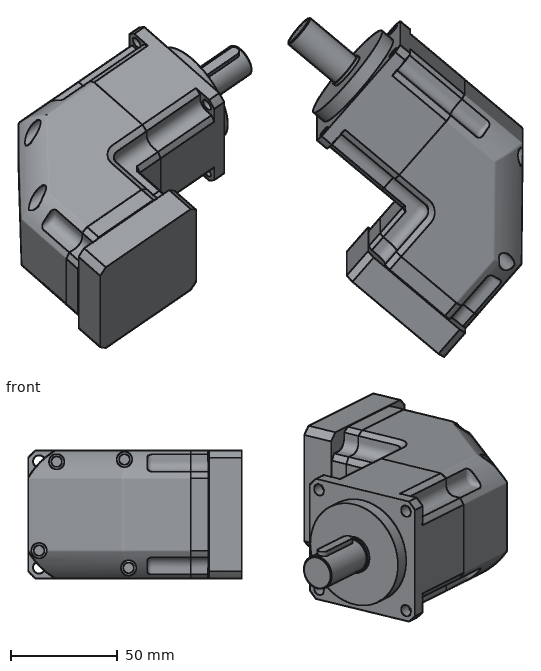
import cadquery as cq
import math


overall_x = 100.0
overall_y = 149.5
body_width = 60.0
turned_diameter = 68.9
flange_diameter = 80.0
half = body_width / 2
cutter_margin = 7.5
clear = half + cutter_margin
tolerance = 0.001

output_joint_y = 43.0
output_flange_start_y = 76.4
output_face_y = 82.7
pilot_end_y = 89.4
collar_end_y = 90.9
shaft_end_y = overall_y - half
output_slot_end_y = 25.1

neck_joint_x = 46.0
neck_end_x = 54.3
input_flange_start_x = 54.7
input_face_x = overall_x - half
input_slot_end_x = 25.7

pilot_diameter = 50.0
collar_diameter = 17.5
shaft_diameter = 16.0
shaft_chamfer = 0.5
key_width = 5.0
key_length = 25.1
key_end_gap = 2.0
key_top_z = 10.0

bolt_offset = 24.8
bolt_hole_diameter = 5.5
slot_radius = 4.8
slot_end_fillet = 2.1
slot_floor = bolt_offset - slot_radius

diagonal_start_y = 7.2
diagonal_angle = 40.0
elbow_fillet = 1.8

screw_places = [(-16.6, 24.7), (15.1, 25.7), (-24.8, -16.9), (17.0, -25.0)]
screw_head_diameter = 7.2
screw_seat_depth = 21.0
screw_hole_diameter = 5.0
screw_hole_depth = 9.0

spacer_diameter = 50.0

turned_radius = turned_diameter / 2
flat_half = math.sqrt(turned_radius**2 - half**2)
mid_arc = turned_radius * math.sqrt(0.5)
rounding_at_floor = math.sqrt(turned_radius**2 - slot_floor**2)
rounding_at_bolt = math.sqrt(turned_radius**2 - bolt_offset**2)
slope = math.tan(math.radians(diagonal_angle))
diagonal_end_x = (diagonal_start_y + half) / slope - half

diagonal_direction = (math.cos(math.radians(diagonal_angle)), -math.sin(math.radians(diagonal_angle)), 0)
diagonal_outward = (diagonal_direction[1], -diagonal_direction[0], 0)
diagonal_axis_point = (
    -half - half * diagonal_outward[0],
    diagonal_start_y - half * diagonal_outward[1],
    0,
)
X_OUT, X_IN = (1, 0, 0), (-1, 0, 0)
Y_OUT, Y_IN = (0, 1, 0), (0, -1, 0)


def box(x_range, y_range, z_range):
    """Block between the given limits."""
    size = [high - low for low, high in (x_range, y_range, z_range)]
    return cq.Workplane("XY").box(*size, centered=False).translate((x_range[0], y_range[0], z_range[0]))


def both_z_sides(shape):
    """The shape together with its mirror image below Z = 0."""
    return shape.union(shape.mirror("XY"))


def section_plane(point, outward):
    """Plane across a leg: local x points outward, local y points to +Z."""
    along = cq.Vector(*outward).cross(cq.Vector(0, 0, 1))
    return cq.Workplane(cq.Plane(point, outward, along.toTuple()))


def swept_length(outward, direction, length):
    """Signed extrusion length on a section plane for a run in the given direction."""
    along = cq.Vector(*outward).cross(cq.Vector(0, 0, 1))
    return length if along.dot(cq.Vector(*direction)) > 0 else -length


def corner_rounding(point, outward, direction, length):
    """Cutter that turns the square corners on one side of a leg to the turned diameter."""
    cutter = (
        section_plane(point, outward)
        .moveTo(flat_half, half)
        .threePointArc((mid_arc, mid_arc), (half, flat_half))
        .lineTo(half, half)
        .close()
        .extrude(swept_length(outward, direction, length))
    )
    return both_z_sides(cutter)


def corner_slot(point, outward, direction, length, closed_end):
    """Cutter for the slots along one side of a leg, with a filleted end wall at the start if closed."""
    bottom = bolt_offset - slot_radius * math.sqrt(0.5)
    cutter = (
        section_plane(point, outward)
        .moveTo(slot_floor, clear)
        .lineTo(slot_floor, bolt_offset)
        .threePointArc((bottom, bottom), (bolt_offset, slot_floor))
        .lineTo(clear, slot_floor)
        .lineTo(clear, clear)
        .close()
        .extrude(swept_length(outward, direction, length))
    )
    if closed_end:
        start = cq.Vector(*point).dot(cq.Vector(*direction))
        end_edges = [
            edge
            for edge in cutter.edges().vals()
            if abs(edge.Center().dot(cq.Vector(*direction)) - start) < tolerance
            and edge.Center().z < clear - tolerance
            and edge.Center().dot(cq.Vector(*outward)) < clear - tolerance
        ]
        cutter = cutter.newObject(end_edges).fillet(slot_end_fillet)
    return both_z_sides(cutter)


def outer_roundings():
    """Corner roundings of the -X and -Y walls."""
    left = corner_rounding((0, -clear, 0), X_IN, Y_OUT, output_flange_start_y + clear)
    back = corner_rounding((-clear, 0, 0), Y_IN, X_OUT, neck_end_x + clear)
    return left.union(back)


def diagonal_rounding():
    """Corner rounding of the slanting back wall, run well past both of its ends."""
    overrun = body_width
    start = [p - overrun * d for p, d in zip(diagonal_axis_point, diagonal_direction)]
    return corner_rounding(tuple(start), diagonal_outward, diagonal_direction, 3 * overrun)


def inner_rounding():
    """Corner rounding of the two inner walls, turned about a vertical axis at the bend."""
    along_output = corner_rounding((0, bolt_offset, 0), X_OUT, Y_OUT, output_flange_start_y - bolt_offset)
    along_input = corner_rounding((bolt_offset, 0, 0), Y_OUT, X_OUT, neck_end_x - bolt_offset)
    turn_radius = bolt_offset - flat_half
    bend = (
        cq.Workplane("XZ", origin=(bolt_offset, bolt_offset, 0))
        .moveTo(0, rounding_at_bolt)
        .lineTo(0, half)
        .lineTo(turn_radius, half)
        .threePointArc((bolt_offset - mid_arc, mid_arc), (0, rounding_at_bolt))
        .close()
        .revolve(360, (0, 0), (0, 1))
    )
    kept_corner = box((bolt_offset, half), (bolt_offset, half), (-slot_floor, slot_floor))
    return along_output.union(along_input).union(both_z_sides(bend)).cut(kept_corner)


def inner_slot():
    """Slot along the two inner walls, turned about the same vertical axis at the bend."""
    along_output = corner_slot(
        (0, bolt_offset, 0), X_OUT, Y_OUT, output_flange_start_y - bolt_offset, False)
    along_input = corner_slot((bolt_offset, 0, 0), Y_OUT, X_OUT, neck_end_x - bolt_offset, False)
    bend = (
        cq.Workplane("XY", origin=(bolt_offset, bolt_offset, bolt_offset))
        .circle(slot_radius)
        .extrude(clear - bolt_offset)
        .union(cq.Workplane("XY", origin=(bolt_offset,) * 3).sphere(slot_radius))
    )
    return along_output.union(along_input).union(both_z_sides(bend))


def outer_slots():
    """Closed slots along the -X wall and the -Y wall."""
    left = corner_slot(
        (0, output_slot_end_y, 0), X_IN, Y_OUT, output_flange_start_y - output_slot_end_y, True)
    back = corner_slot((input_slot_end_x, 0, 0), Y_IN, X_OUT, neck_end_x - input_slot_end_x, True)
    return left.union(back)


outer_rounding_cut = outer_roundings()
inner_rounding_cut = inner_rounding()
inner_slot_cut = inner_slot()
outer_slot_cut = outer_slots()


def disc(plane, diameter, start, end):
    """Round disc about the leg axis normal to the plane; XZ discs run towards +Y."""
    sign = -1 if plane == "XZ" else 1
    return cq.Workplane(plane).workplane(offset=sign * start).circle(diameter / 2).extrude(sign * (end - start))


def make_output_unit():
    """Output housing with its mounting flange, pilot, shaft and key."""
    across = (-half, half)
    housing = box(across, (output_joint_y, output_flange_start_y), across)
    for cutter in (outer_rounding_cut, inner_rounding_cut, inner_slot_cut, outer_slot_cut):
        housing = housing.cut(cutter)

    flange = box(across, (output_flange_start_y, output_face_y), across)
    flange = flange.intersect(disc("XZ", flange_diameter, output_flange_start_y, output_face_y))
    for x in (-bolt_offset, bolt_offset):
        for z in (-bolt_offset, bolt_offset):
            hole = disc("XZ", bolt_hole_diameter, output_flange_start_y, output_face_y)
            flange = flange.cut(hole.translate((x, 0, z)))

    pilot = disc("XZ", pilot_diameter, output_face_y, pilot_end_y)
    collar = disc("XZ", collar_diameter, pilot_end_y, collar_end_y)
    shaft = disc("XZ", shaft_diameter, collar_end_y, shaft_end_y).faces(">Y").chamfer(shaft_chamfer)
    key_middle_y = shaft_end_y - key_end_gap - key_length / 2
    key = cq.Workplane("XY", origin=(0, key_middle_y, 0)).slot2D(key_length, key_width, 90).extrude(key_top_z)
    return housing.union(flange).union(pilot).union(collar).union(shaft).union(key)


def make_elbow():
    """Elbow housing that joins the two legs, with a slanting back wall."""
    blank = (
        cq.Workplane("XY", origin=(0, 0, -half))
        .moveTo(-half, output_joint_y)
        .lineTo(-half, diagonal_start_y)
        .lineTo(diagonal_end_x, -half)
        .lineTo(neck_joint_x, -half)
        .lineTo(neck_joint_x, half)
        .lineTo(half, half)
        .lineTo(half, output_joint_y)
        .close()
        .extrude(body_width)
        .cut(outer_rounding_cut)
        .cut(diagonal_rounding())
    )
    elbow = round_outer_edges(blank)
    for cutter in (inner_rounding_cut, inner_slot_cut, outer_slot_cut):
        elbow = elbow.cut(cutter)
    return drill_cover_screws(elbow.cut(inner_corner_facets()))


def round_outer_edges(blank):
    """Fillet the edges of the outer walls, away from the joints and the inner walls."""
    def is_outer(edge):
        middle = edge.Center()
        on_joint = middle.x > neck_joint_x - tolerance or middle.y > output_joint_y - tolerance
        return not on_joint and middle.x + middle.y < flat_half

    outer_edges = [edge for edge in blank.edges().vals() if is_outer(edge)]
    return blank.newObject(outer_edges).fillet(elbow_fillet)


def inner_corner_facets():
    """Three-sided cutters that bevel the tip of the slot floor where the inner walls meet."""
    top = cq.Vector(half, half, slot_floor)
    on_output_wall = cq.Vector(rounding_at_floor, half, slot_floor)
    on_input_wall = cq.Vector(half, rounding_at_floor, slot_floor)
    bottom = cq.Vector(half, half, flat_half)
    triangles = [
        (top, on_output_wall, on_input_wall),
        (top, on_output_wall, bottom),
        (top, on_input_wall, bottom),
        (on_output_wall, on_input_wall, bottom),
    ]
    faces = [cq.Face.makeFromWires(cq.Wire.makePolygon(points, close=True)) for points in triangles]
    return both_z_sides(cq.Workplane(cq.Solid.makeSolid(cq.Shell.makeShell(faces))))


def drill_cover_screws(elbow):
    """Counterbored screw holes that enter through the slanting wall."""
    for x, z in screw_places:
        wall_y = diagonal_start_y - (x + half) * slope
        seat_y = wall_y + screw_seat_depth
        head = disc("XZ", screw_head_diameter, -clear, seat_y)
        hole = disc("XZ", screw_hole_diameter, seat_y, seat_y + screw_hole_depth)
        elbow = elbow.cut(head.union(hole).translate((x, 0, z)))
    return elbow


def make_neck():
    """Input neck, with the round boss that seats the input flange."""
    across = (-half, half)
    neck = box((neck_joint_x, neck_end_x), across, across)
    for cutter in (outer_rounding_cut, inner_rounding_cut, inner_slot_cut, outer_slot_cut):
        neck = neck.cut(cutter)
    return neck.union(disc("YZ", spacer_diameter, neck_end_x, input_flange_start_x))


def make_input_flange():
    """Plain square motor flange with its corners trimmed round."""
    across = (-half, half)
    flange = box((input_flange_start_x, input_face_x), across, across)
    return flange.intersect(disc("YZ", flange_diameter, input_flange_start_x, input_face_x))


output_unit = make_output_unit()
elbow = make_elbow()
neck = make_neck()
input_flange = make_input_flange()

result = cq.Compound.makeCompound([output_unit.val(), elbow.val(), neck.val(), input_flange.val()])